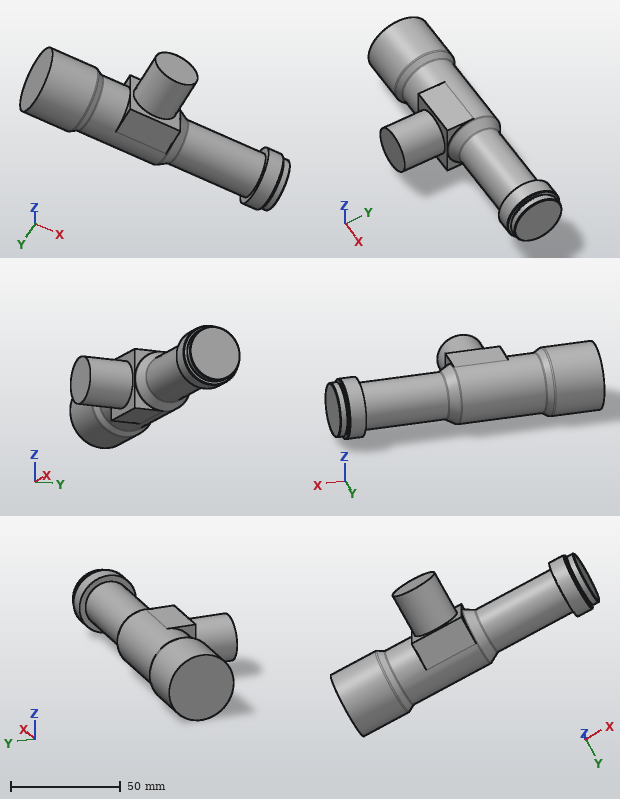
import cadquery as cq
import math

inlet_radius = 16.0
body_radius = 14.0
tube_radius = 11.0
flange_radius = body_radius
groove_radius = 12.0
lip_radius = 12.6

inlet_end = 23.7
body_end = 67.7
flange_start = 113.2
flange_end = 121.1
groove_end = 121.8
total_length = 125.2

cone_angle = math.radians(30)
inlet_blend = 1.5
neck_blend = 1.0
edge_chamfer = 0.4

block_start = 41.3
block_end = 67.4
block_depth = body_radius
branch_x = 54.1
branch_radius = tube_radius
branch_reach = 35.4


def cone_length(large_radius, small_radius):
    return (large_radius - small_radius) / math.tan(cone_angle)


def blend_rim(solid, x, radius, blend):
    """Round the circular edge of the given radius at station x."""
    margin = 0.06
    selector = cq.selectors.BoxSelector(
        (x - margin, -radius - margin, -radius - margin),
        (x + margin, radius + margin, radius + margin),
        boundingbox=True,
    )
    return solid.edges(selector).fillet(blend)


def make_body():
    inlet_cone_end = inlet_end + cone_length(inlet_radius, body_radius)
    neck_cone_end = body_end + cone_length(body_radius, tube_radius)
    profile = [
        (0, 0),
        (0, inlet_radius),
        (inlet_end, inlet_radius),
        (inlet_cone_end, body_radius),
        (body_end, body_radius),
        (neck_cone_end, tube_radius),
        (flange_start, tube_radius),
        (flange_start, flange_radius),
        (flange_end - edge_chamfer, flange_radius),
        (flange_end, flange_radius - edge_chamfer),
        (flange_end, groove_radius),
        (groove_end, groove_radius),
        (groove_end, lip_radius),
        (total_length - edge_chamfer, lip_radius),
        (total_length, lip_radius - edge_chamfer),
        (total_length, 0),
    ]
    body = cq.Workplane("XY").polyline(profile).close().revolve(360, (0, 0), (1, 0))
    body = blend_rim(body, inlet_end, inlet_radius, inlet_blend)
    body = blend_rim(body, inlet_cone_end, body_radius, neck_blend)
    body = blend_rim(body, body_end, body_radius, neck_blend)
    return blend_rim(body, neck_cone_end, tube_radius, neck_blend)


def make_block():
    """Box from the body axis out to the flat face that carries the branch."""
    return cq.Workplane("XY").box(
        block_end - block_start, block_depth, 2 * body_radius, centered=(False, False, True)
    ).translate((block_start, -block_depth, 0))


def make_branch():
    return cq.Workplane("XZ").center(branch_x, 0).circle(branch_radius).extrude(branch_reach)


result = make_body().union(make_block()).union(make_branch())